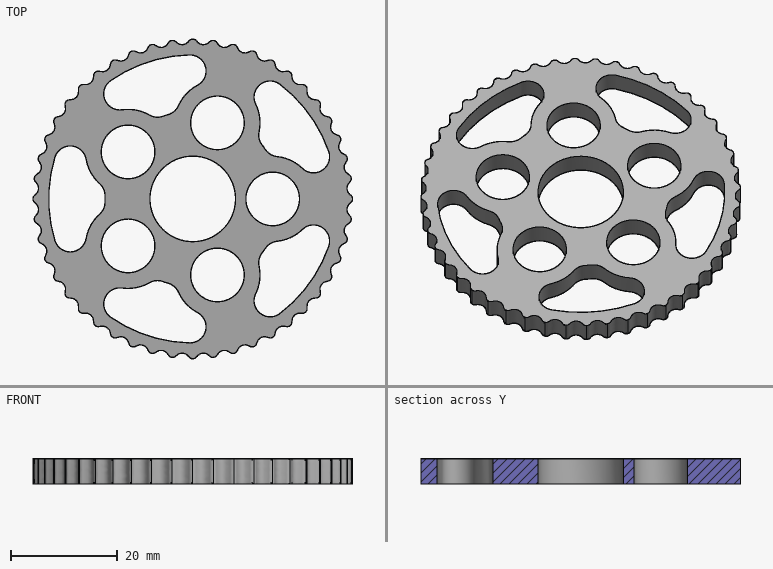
import cadquery as cq
import math

outer_radius = 30.0
thickness = 4.8
bore_diameter = 16.0

lobe_count = 48
pin_count = lobe_count + 1
pin_radius = 1.5
eccentricity = 0.5
pin_circle_radius = outer_radius + pin_radius - eccentricity
spline_steps = 16

spoke_count = 5
hole_diameter = 10.0
hole_circle_radius = 15.0

hole_wall = 3.0
window_outer_radius = 27.0
window_inner_radius = 16.5
window_corner_radius = 3.0

spoke_angle = 360 / spoke_count


def polar(radius, angle):
    """Point at the given radius and angle (degrees) from the disc centre."""
    return (radius * math.cos(math.radians(angle)), radius * math.sin(math.radians(angle)))


def point_between(start, end, distance):
    """Point at the given distance from start, on the line towards end."""
    share = distance / math.dist(start, end)
    return (start[0] + share * (end[0] - start[0]), start[1] + share * (end[1] - start[1]))


def mirrored(point):
    """Point reflected across the X axis."""
    return (point[0], -point[1])


def rim_point(turn):
    """Point of the cycloidal rim at a rolling angle in radians; lobe tips lie at whole lobe pitches."""
    swing = lobe_count * turn
    pin_lean = math.atan2(
        math.sin(swing),
        pin_circle_radius / (eccentricity * pin_count) + math.cos(swing),
    )
    x = (
        pin_circle_radius * math.cos(turn)
        - pin_radius * math.cos(turn + pin_lean)
        + eccentricity * math.cos(pin_count * turn)
    )
    y = (
        pin_circle_radius * math.sin(turn)
        - pin_radius * math.sin(turn + pin_lean)
        + eccentricity * math.sin(pin_count * turn)
    )
    return (x, y)


def make_lobed_disc():
    """Disc whose rim is one smooth curve per groove, each running from lobe tip to lobe tip."""
    pitch = 2 * math.pi / lobe_count
    rim = cq.Workplane("XY").moveTo(*rim_point(0))
    for lobe in range(lobe_count):
        first_turn = lobe * pitch
        points = [rim_point(first_turn + pitch * step / spline_steps) for step in range(spline_steps + 1)]
        tangents = [(-points[0][1], points[0][0]), (-points[-1][1], points[-1][0])]
        rim = rim.spline(points, tangents=tangents)
    return rim.close().extrude(thickness)


def chord_middle(start, end):
    """Point halfway along the straight line from start to end."""
    return ((start[0] + end[0]) / 2, (start[1] + end[1]) / 2)


def make_window():
    """Window centred on the +X axis, bounded by tangent arcs."""
    hole_center = polar(hole_circle_radius, spoke_angle / 2)
    wall_radius = hole_diameter / 2 + hole_wall
    hole_to_corner = wall_radius + window_corner_radius

    def corner_angle(distance):
        """Angle of a corner arc centre at this distance that keeps the arc tangent to the wall arc."""
        offset_cosine = (
            (hole_circle_radius**2 + distance**2 - hole_to_corner**2)
            / (2 * hole_circle_radius * distance)
        )
        return spoke_angle / 2 - math.degrees(math.acos(offset_cosine))

    outer_distance = window_outer_radius - window_corner_radius
    outer_angle = corner_angle(outer_distance)
    outer_center = polar(outer_distance, outer_angle)
    inner_distance = window_inner_radius + window_corner_radius
    inner_angle = corner_angle(inner_distance)
    inner_center = polar(inner_distance, inner_angle)

    outer_end = polar(window_outer_radius, outer_angle)
    wall_start = point_between(hole_center, outer_center, wall_radius)
    wall_end = point_between(hole_center, inner_center, wall_radius)
    inner_end = polar(window_inner_radius, inner_angle)

    outer_corner = point_between(outer_center, chord_middle(outer_end, wall_start), window_corner_radius)
    wall_middle = point_between(hole_center, chord_middle(wall_start, wall_end), wall_radius)
    inner_corner = point_between(inner_center, chord_middle(wall_end, inner_end), window_corner_radius)

    return (
        cq.Workplane("XY")
        .moveTo(*mirrored(outer_end))
        .threePointArc((window_outer_radius, 0), outer_end)
        .threePointArc(outer_corner, wall_start)
        .threePointArc(wall_middle, wall_end)
        .threePointArc(inner_corner, inner_end)
        .threePointArc((window_inner_radius, 0), mirrored(inner_end))
        .threePointArc(mirrored(inner_corner), mirrored(wall_end))
        .threePointArc(mirrored(wall_middle), mirrored(wall_start))
        .threePointArc(mirrored(outer_corner), mirrored(outer_end))
        .close()
        .extrude(thickness)
    )


bore = cq.Workplane("XY").circle(bore_diameter / 2).extrude(thickness)
holes = (
    cq.Workplane("XY")
    .polarArray(hole_circle_radius, 0, 360, spoke_count)
    .circle(hole_diameter / 2)
    .extrude(thickness)
)
window = make_window()

result = make_lobed_disc().cut(bore).cut(holes)
for index in range(spoke_count):
    window_angle = (index + 0.5) * spoke_angle
    result = result.cut(window.rotate((0, 0, 0), (0, 0, 1), window_angle))